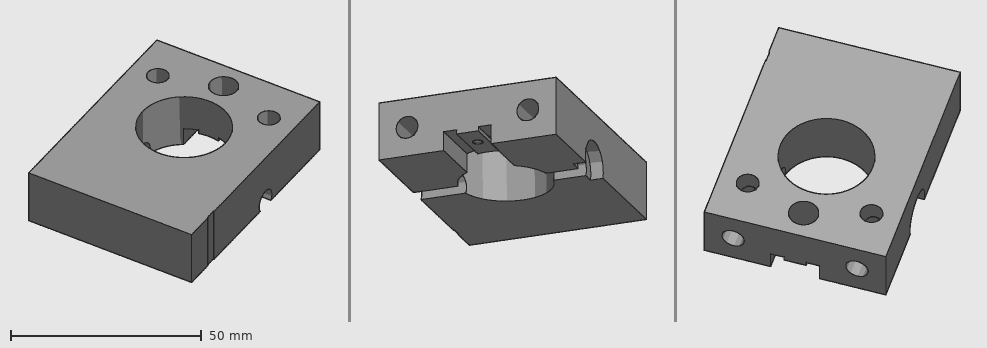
import cadquery as cq
import math

width = 50.0
length = 65.0
height = 16.1

bore_diameter = 25.4
bore_y = 5.0
rod_diameter = 6.4
rod_z = 1.75
rod_counterbore_diameter = 2 * rod_diameter
rod_counterbore_depth = 3.5

channel_width = 13.4
channel_side_height = 5.3
channel_rib_width = 6.1
channel_middle_height = 4.15

side_hole_diameter = 6.0
side_hole_x = 17.0
side_hole_y = 19.8
side_hole_z = height / 2
side_passage_diameter = 6.1

groove_width = 3.0
groove_depth = 0.2
groove_y = -22.6

centre_hole_diameter = 7.9
centre_hole_y = 25.0
centre_hole_depth = 10.35
centre_pilot_diameter = 2.8
cone_half_angle = math.radians(59)


def vertical_cylinder(diameter, x, y, bottom, top):
    return (
        cq.Workplane("XY", origin=(x, y, bottom))
        .circle(diameter / 2)
        .extrude(top - bottom)
    )


def rod_cylinder(diameter, depth):
    """Cylinder along X, starting at the -X face, on the rod axis."""
    return (
        cq.Workplane("YZ", origin=(-width / 2, bore_y, rod_z))
        .circle(diameter / 2)
        .extrude(depth)
    )


def channel():
    """Channel with a low ceiling in the middle and a higher one along each side."""
    half_width = channel_width / 2
    half_rib = channel_rib_width / 2
    profile = [
        (-half_width, 0),
        (-half_width, channel_side_height),
        (-half_rib, channel_side_height),
        (-half_rib, channel_middle_height),
        (half_rib, channel_middle_height),
        (half_rib, channel_side_height),
        (half_width, channel_side_height),
        (half_width, 0),
    ]
    return (
        cq.Workplane("XZ", origin=(0, bore_y, 0))
        .polyline(profile)
        .close()
        .extrude(bore_y - length / 2)
    )


def side_passage(x):
    """Elbow formed by a vertical hole and a slightly wider horizontal one."""
    vertical = vertical_cylinder(side_hole_diameter, x, side_hole_y, side_hole_z, height)
    horizontal_start = side_hole_y - side_passage_diameter / 2
    horizontal = (
        cq.Workplane("XZ", origin=(x, horizontal_start, side_hole_z))
        .circle(side_passage_diameter / 2)
        .extrude(horizontal_start - length / 2)
    )
    return vertical.union(horizontal)


def centre_hole():
    """Wide hole narrowing through a cone to a pilot that opens into the channel."""
    wide_radius = centre_hole_diameter / 2
    pilot_radius = centre_pilot_diameter / 2
    cone_top = height - centre_hole_depth
    cone_bottom = cone_top - (wide_radius - pilot_radius) / math.tan(cone_half_angle)
    profile = [
        (0, 0),
        (pilot_radius, 0),
        (pilot_radius, cone_bottom),
        (wide_radius, cone_top),
        (wide_radius, height),
        (0, height),
    ]
    return (
        cq.Workplane("XZ")
        .polyline(profile)
        .close()
        .revolve(360, (0, 0), (0, 1))
        .translate((0, centre_hole_y, 0))
    )


result = cq.Workplane("XY").box(width, length, height, centered=(True, True, False))
result = result.cut(vertical_cylinder(bore_diameter, 0, bore_y, 0, height))
result = result.cut(rod_cylinder(rod_diameter, width))
result = result.cut(rod_cylinder(rod_counterbore_diameter, rod_counterbore_depth))
result = result.cut(channel())
for side in (-1, 1):
    result = result.cut(side_passage(side * side_hole_x))
result = result.cut(centre_hole())
groove = cq.Workplane("XY").box(
    2 * groove_depth, groove_width, height, centered=(True, True, False)
)
result = result.cut(groove.translate((width / 2, groove_y, 0)))